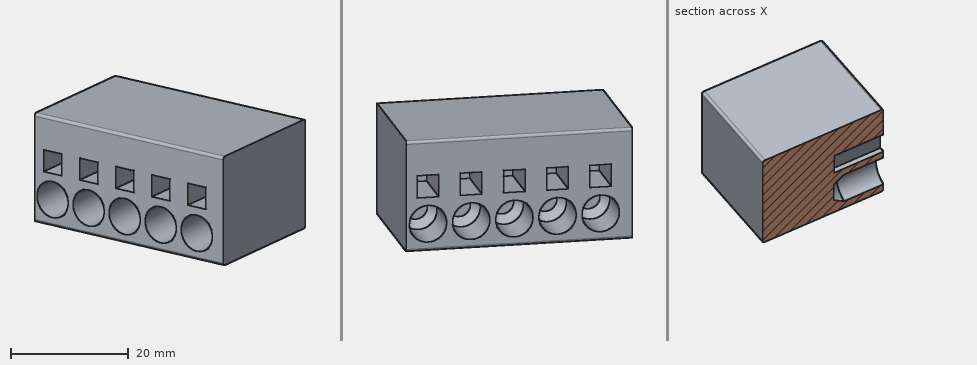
import cadquery as cq

length = 39.3
depth = 24.15
height = 19.6
edge_radius = 0.5

pole_count = 5
pitch = 7.5
first_pole_x = pitch / 2

entry_diameter = 6.5
entry_floor_diameter = 4.0
entry_bore_depth = 7.85
entry_funnel_depth = 2.05
entry_z = 4.8

slot_width = 3.75
slot_height = 3.93
slot_depth = 9.82
slot_z = 11.45


def make_housing():
    """Block with its corner at the origin and its four long edges rounded."""
    block = cq.Workplane("XY").box(length, depth, height, centered=False)
    return block.edges("|X").fillet(edge_radius)


def make_wire_entry(x):
    """Cutter revolved about the entry axis, running inward from the front face (Y = 0)."""
    bore_radius = entry_diameter / 2
    floor_radius = entry_floor_diameter / 2
    entry_depth = entry_bore_depth + entry_funnel_depth
    half_section = (
        cq.Workplane("XY")
        .lineTo(bore_radius, 0)
        .lineTo(bore_radius, entry_bore_depth)
        .lineTo(floor_radius, entry_depth)
        .lineTo(0, entry_depth)
        .close()
    )
    cutter = half_section.revolve(360, (0, 0, 0), (0, 1, 0))
    return cutter.translate((x, 0, entry_z))


def make_release_slot(x):
    """Box cutter running straight inward from the front face."""
    slot = cq.Workplane("XY").box(slot_width, slot_depth, slot_height)
    return slot.translate((x, slot_depth / 2, slot_z))


result = make_housing()
for pole in range(pole_count):
    pole_x = first_pole_x + pole * pitch
    result = result.cut(make_wire_entry(pole_x))
    result = result.cut(make_release_slot(pole_x))